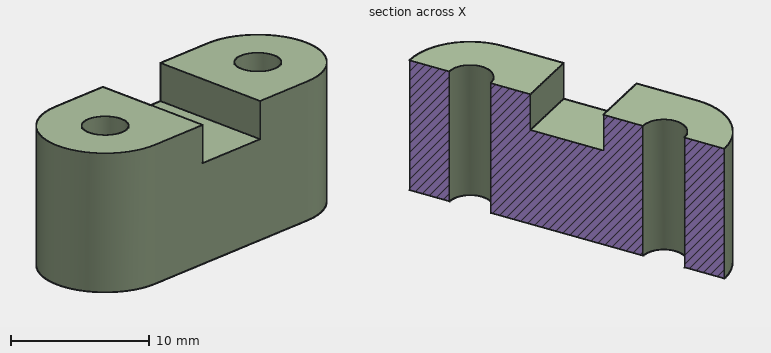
import cadquery as cq

length = 26.0
width = 10.0
height = 11.0

hole_diameter = 3.4
hole_spacing = length - width

channel_width = 6.0
channel_depth = 3.02


def make_body():
    """Upright block with full-round ends, long side along Y."""
    return cq.Workplane("XY").slot2D(length, width, 90).extrude(height)


def make_holes():
    """Two vertical through holes, one at the centre of each rounded end."""
    centers = [(0, -hole_spacing / 2), (0, hole_spacing / 2)]
    return cq.Workplane("XY").pushPoints(centers).circle(hole_diameter / 2).extrude(height)


def make_channel():
    """Rectangular channel running along X, open at the top."""
    return (
        cq.Workplane("XY")
        .workplane(offset=height - channel_depth)
        .rect(width, channel_width)
        .extrude(channel_depth)
    )


result = make_body().cut(make_holes()).cut(make_channel())